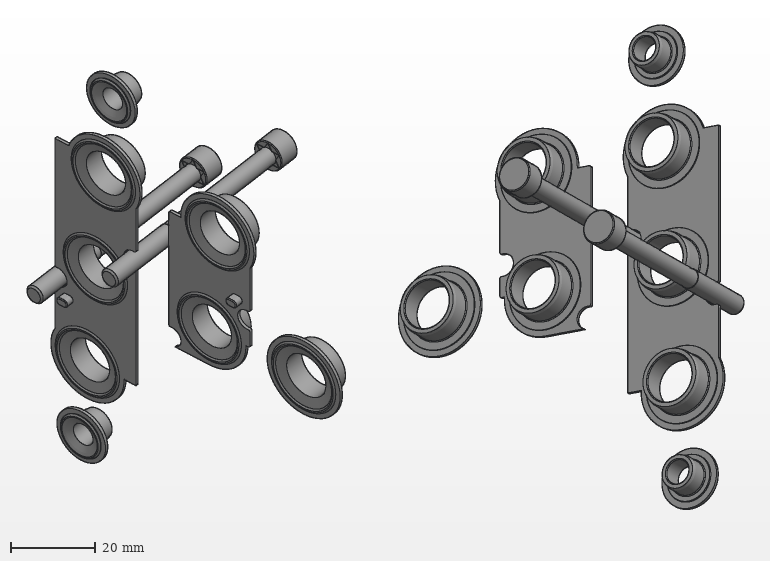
import cadquery as cq

plate_thickness = 0.9
plate_width = 25.0
plate_half_width = plate_width / 2
plate_pitch = 35.0
cup_step_x = 2.5
cup_step_z = 30.0
ledge_offset = 0.5
long_plate_top = 33.6
corner_radius = 0.5

big_flange_diameter = 22.5
small_flange_diameter = 15.0
small_cup_x = 4.5
small_cup_z = 54.0
lone_cup_x = 64.1
small_flange_front = 0.2
rim_height = 0.4
rim_slope = 0.5
collar_chamfer = 0.2
tail_taper = 0.2
tail_length = 1.1
bore_chamfer = 0.2

bolt_x = 11.6
bolt_z = 8.6
bolt_tip = -9.0
bolt_length = 65.4
head_diameter = 8.5
head_height = 6.0
head_chamfer = 0.2
shank_diameter = 4.8
thread_diameter = 5.0
thread_length = 22.3
tip_chamfer = 0.5
star_depth = 0.1
notch_diameter = 5.7

peg_x = 8.5
peg_z = 13.5
peg_width = 3.3
peg_height = 2.2
peg_length = 2.3
peg_chamfer = 0.2

big_cup = {
    "bore": 12.0,
    "body": 15.0,
    "mouth": 17.2,
    "rim_inner": 18.1,
    "rim_outer": 19.8,
    "collar": 19.4,
    "collar_back": 1.1,
    "back": 6.9,
    "cone_depth": 1.0,
}
small_cup = {
    "bore": 6.0,
    "body": 8.9,
    "mouth": 9.3,
    "rim_inner": 10.8,
    "rim_outer": 12.4,
    "collar": 11.7,
    "collar_back": 1.5,
    "back": 6.8,
    "cone_depth": 1.0,
}


def front_plane(x=0.0, y=0.0, z=0.0):
    """Plane at (x, y, z) parallel to XZ whose extrusions go toward +Y."""
    return cq.Workplane(cq.Plane(origin=(x, y, z), xDir=(-1, 0, 0), normal=(0, 1, 0)))


def disc(x, z, diameter, front, back):
    """Cylinder about the Y direction at (x, z) from front to back."""
    return front_plane(x, front, z).circle(diameter / 2).extrude(back - front)


def plate_box(x_min, x_max, z_min, z_max):
    """Rectangular plate of the common thickness with its front face at Y = 0."""
    size = (x_max - x_min, plate_thickness, z_max - z_min)
    return cq.Workplane("XY").box(*size, centered=False).translate((x_min, 0, z_min))


def revolved(points, x, z):
    """Solid of the (radius, y) points turned about the Y axis and moved to (x, z)."""
    solid = cq.Workplane("XY").polyline(points).close().revolve(360, (0, 0, 0), (0, 1, 0))
    return solid.translate((x, 0, z))


def cup_wall(cup, x, z):
    rim = cup["rim_outer"] / 2
    body = cup["body"] / 2
    collar_back = cup["collar_back"]
    outside = [
        (0, -rim_height),
        (rim - rim_slope, -rim_height),
        (rim, 0),
        (cup["collar"] / 2, collar_back),
        (body + collar_chamfer, collar_back),
        (body, collar_back + collar_chamfer),
        (body, cup["back"] - tail_length),
        (body - tail_taper, cup["back"]),
        (0, cup["back"]),
    ]
    return revolved(outside, x, z)


def cup_opening(cup, x, z):
    bore = cup["bore"] / 2
    inside = [
        (0, -rim_height),
        (cup["rim_inner"] / 2, -rim_height),
        (cup["mouth"] / 2, 0),
        (bore, cup["cone_depth"]),
        (bore, cup["back"] - bore_chamfer),
        (bore + bore_chamfer, cup["back"]),
        (0, cup["back"]),
    ]
    return revolved(inside, x, z)


def with_cups(base, cup, places):
    """Joins the cups to the base, then opens every cup right through."""
    for x, z in places:
        base = base.union(cup_wall(cup, x, z))
    for x, z in places:
        base = base.cut(cup_opening(cup, x, z))
    return base


def peg(x, z):
    return (
        front_plane(x, -peg_length, z)
        .slot2D(peg_width, peg_height)
        .extrude(peg_length)
        .faces("<Y")
        .chamfer(peg_chamfer)
    )


def bolt_notches(plate_x):
    right = disc(plate_x + bolt_x, bolt_z, notch_diameter, 0, plate_thickness)
    left = disc(plate_x - bolt_x, -bolt_z, notch_diameter, 0, plate_thickness)
    return right.union(left)


def round_corners(plate, x, z_min, z_max):
    """Rounds the plate corners that lie on the side at x between the two heights."""
    reach = corner_radius / 2
    corners = cq.selectors.BoxSelector(
        (x - reach, -plate_thickness, z_min),
        (x + reach, 2 * plate_thickness, z_max),
    )
    return plate.edges("|Y").edges(corners).fillet(corner_radius)


def make_long_plate():
    ledge = -cup_step_z + ledge_offset
    places = [(i * cup_step_x, i * cup_step_z) for i in (-1, 0, 1)]
    plate = plate_box(-plate_half_width, plate_half_width, ledge, long_plate_top)
    for x, z in (places[0], places[-1]):
        plate = plate.union(disc(x, z, big_flange_diameter, 0, plate_thickness))
    plate = plate.cut(bolt_notches(0))
    plate = round_corners(plate, -plate_half_width, -bolt_z - notch_diameter, 0)
    plate = round_corners(plate, plate_half_width, 0, bolt_z + notch_diameter)
    plate = plate.union(peg(-peg_x, -peg_z))
    return with_cups(plate, big_cup, places)


def make_short_plate():
    x_min = plate_pitch - plate_half_width
    x_max = plate_pitch + plate_half_width
    top = cup_step_z - ledge_offset
    bottom = -big_flange_diameter / 2
    places = [(plate_pitch, 0), (plate_pitch + cup_step_x, cup_step_z)]
    plate = plate_box(x_min, x_max, ledge_offset, top)
    plate = plate.union(plate_box(x_min, plate_pitch, bottom, top))
    for x, z in places:
        plate = plate.union(disc(x, z, big_flange_diameter, 0, plate_thickness))
    plate = plate.cut(bolt_notches(plate_pitch))
    plate = round_corners(plate, x_min, bottom, cup_step_z)
    plate = round_corners(plate, x_max, 0, bolt_z + notch_diameter)
    plate = plate.union(peg(plate_pitch + peg_x, peg_z))
    return with_cups(plate, big_cup, places)


def make_lone_cup():
    flange = disc(lone_cup_x, 0, big_flange_diameter, 0, plate_thickness)
    return with_cups(flange, big_cup, [(lone_cup_x, 0)])


def make_small_cup(side):
    x = side * small_cup_x
    z = side * small_cup_z
    flange_back = small_flange_front + plate_thickness
    flange = disc(x, z, small_flange_diameter, small_flange_front, flange_back)
    return with_cups(flange, small_cup, [(x, z)])


def star_recess(x, z, front):
    """Shallow six-pointed star made of two triangles, reaching the edge of the head."""
    star_diameter = head_diameter - 2 * head_chamfer
    first, second = [
        front_plane(x, front, z)
        .transformed(rotate=(0, 0, turn))
        .polygon(3, star_diameter)
        .extrude(star_depth)
        for turn in (30, 210)
    ]
    return first.union(second)


def make_bolt(side):
    x = side * bolt_x
    z = side * bolt_z
    top = bolt_tip + bolt_length
    head_front = top - head_height
    thread_end = bolt_tip + thread_length
    head = disc(x, z, head_diameter, head_front, top).edges().chamfer(head_chamfer)
    head = head.cut(star_recess(x, z, head_front))
    shank = disc(x, z, shank_diameter, thread_end, head_front + star_depth)
    thread = disc(x, z, thread_diameter, bolt_tip, thread_end).faces("<Y").chamfer(tip_chamfer)
    return head.union(shank).union(thread)


long_plate = make_long_plate()
short_plate = make_short_plate()
lone_cup = make_lone_cup()
small_cups = [make_small_cup(side) for side in (-1, 1)]
bolts = [make_bolt(side) for side in (-1, 1)]

result = cq.Compound.makeCompound(
    [
        long_plate.val(),
        short_plate.val(),
        lone_cup.val(),
        *[cup.val() for cup in small_cups],
        *[bolt.val() for bolt in bolts],
    ]
)